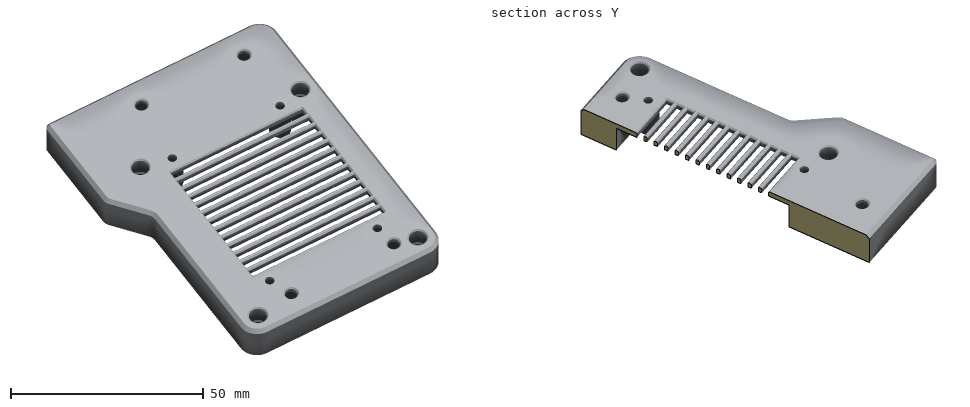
import cadquery as cq
LENGTH = 88.76
WIDTH = 67.96
HEIGHT = 9.8
MAIN_WIDTH = 59.8
TAB_END_X = 30.1
SLOPE_END_X = 40.5
CORNER_RADIUS = 5.0
TAB_CORNER_RADIUS = 1.5
SLOPE_RADIUS = 3.0
EDGE_CHAMFER = 1.0
STEP_Y = WIDTH - MAIN_WIDTH

GRILLE_CENTER = (51.27, 39.62)
SLOT_COUNT = 13
SLOT_PITCH = 3.2
SLOT_WIDTH = 2.0
SLOT_LENGTH = 40.3

SKIN = 1.8
POCKET_TOP = HEIGHT - SKIN
POCKET_LENGTH = 53.0
POCKET_WALL = 2.6
POCKET_WIDTH = MAIN_WIDTH - 2 * POCKET_WALL

OPENING_CHAMFER = 0.4

SCREW_CENTER = (54.4, 38.15)
SCREW_SPACING = (58.0, 49.0)
SCREW_DIAMETER = 3.3
SCREW_HEAD_DIAMETER = 4.7
SCREW_HEAD_DEPTH = 5.0
SCREW_BOSS_DIAMETER = 7.1

MOUNT_CENTER = (44.87, 40.55)
MOUNT_SPACING = (73.8, 31.4)
MOUNT_DIAMETER = 3.3
MOUNT_LIP = 1.5
MOUNT_RECESS_DIAMETER = 7.1

POST_CENTER = (51.33, 38.8)
POST_SPACING = (48.0, 33.0)
POST_DIAMETER = 5.8
POST_HOLE_DIAMETER = 2.5


def pattern(center, spacing):
    """Four corner points of a rectangle."""
    cx, cy = center
    dx, dy = spacing[0] / 2, spacing[1] / 2
    return [(cx + sx * dx, cy + sy * dy) for sx in (-1, 1) for sy in (-1, 1)]


def cylinders(points, diameter, bottom, top):
    """Upright cylinders between two heights."""
    plane = cq.Workplane("XY").workplane(offset=bottom)
    return plane.pushPoints(points).circle(diameter / 2).extrude(top - bottom)


def countersinks(points, diameter):
    """45 degree cones that break the hole edges at the top face."""
    top_radius = diameter / 2 + OPENING_CHAMFER
    cone = cq.Solid.makeCone(diameter / 2, top_radius, OPENING_CHAMFER)
    cone = cone.translate(cq.Vector(0, 0, HEIGHT - OPENING_CHAMFER))
    return cq.Workplane("XY").pushPoints(points).eachpoint(lambda place: cone.moved(place))


def make_body():
    """Rounded outline with a chamfer around the top face."""
    corners = [
        (0, 0, TAB_CORNER_RADIUS),
        (TAB_END_X, 0, SLOPE_RADIUS),
        (SLOPE_END_X, STEP_Y, SLOPE_RADIUS),
        (LENGTH, STEP_Y, CORNER_RADIUS),
        (LENGTH, WIDTH, CORNER_RADIUS),
        (0, WIDTH, CORNER_RADIUS),
    ]
    outline = [(x, y) for x, y, _ in corners]
    body = cq.Workplane("XY").polyline(outline).close().extrude(HEIGHT)
    for x, y, radius in corners:
        corner_edge = cq.selectors.NearestToPointSelector((x, y, HEIGHT / 2))
        body = body.edges("|Z").edges(corner_edge).fillet(radius)
    return body.faces(">Z").chamfer(EDGE_CHAMFER)


def make_pocket():
    """Rectangular hollow below the skin."""
    center_y = STEP_Y + MAIN_WIDTH / 2
    plane = cq.Workplane("XY").center(GRILLE_CENTER[0], center_y)
    return plane.rect(POCKET_LENGTH, POCKET_WIDTH).extrude(POCKET_TOP)


def make_grille():
    """Row of through slots, each flared at the top face."""
    flare_size = (SLOT_WIDTH + 2 * OPENING_CHAMFER, SLOT_LENGTH + 2 * OPENING_CHAMFER)
    flare = cq.Workplane("XY").workplane(offset=HEIGHT).rect(*flare_size)
    flare = flare.extrude(-OPENING_CHAMFER, taper=45)
    slot = cq.Workplane("XY").rect(SLOT_WIDTH, SLOT_LENGTH).extrude(HEIGHT)
    slot = slot.union(flare).val()
    row = cq.Workplane("XY").center(*GRILLE_CENTER).rarray(SLOT_PITCH, 1, SLOT_COUNT, 1)
    return row.eachpoint(lambda place: slot.moved(place))


def add_posts(part):
    """Posts that carry the small holes."""
    points = pattern(POST_CENTER, POST_SPACING)
    part = part.union(cylinders(points, POST_DIAMETER, 0, POCKET_TOP))
    return part.cut(cylinders(points, POST_HOLE_DIAMETER, 0, HEIGHT))


def add_screw_holes(part):
    """Bosses with counterbored through holes."""
    points = pattern(SCREW_CENTER, SCREW_SPACING)
    head_floor = HEIGHT - SCREW_HEAD_DEPTH
    part = part.union(cylinders(points, SCREW_BOSS_DIAMETER, 0, POCKET_TOP))
    part = part.cut(cylinders(points, SCREW_DIAMETER, 0, HEIGHT))
    part = part.cut(cylinders(points, SCREW_HEAD_DIAMETER, head_floor, HEIGHT))
    return part.cut(countersinks(points, SCREW_HEAD_DIAMETER))


def cut_mount_holes(part):
    """Through holes with a wide recess below the lip."""
    points = pattern(MOUNT_CENTER, MOUNT_SPACING)
    part = part.cut(cylinders(points, MOUNT_DIAMETER, 0, HEIGHT))
    part = part.cut(cylinders(points, MOUNT_RECESS_DIAMETER, 0, HEIGHT - MOUNT_LIP))
    return part.cut(countersinks(points, MOUNT_DIAMETER))


result = make_body().cut(make_pocket()).cut(make_grille())
result = add_posts(result)
result = add_screw_holes(result)
result = cut_mount_holes(result)